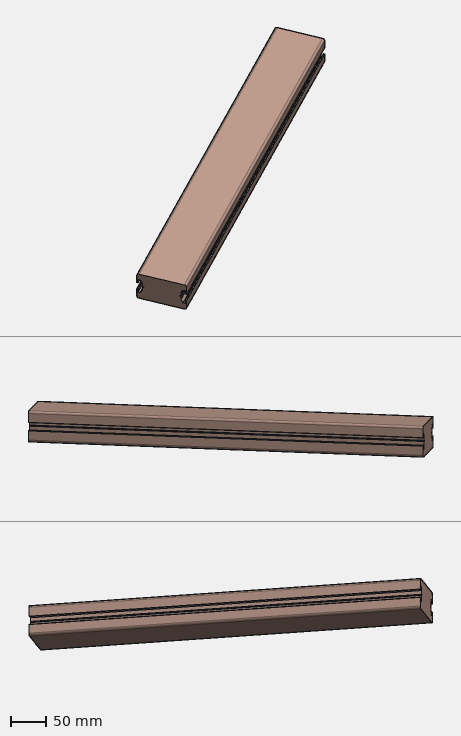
import cadquery as cq

width = 75.0
length = 570.0
height = 45.0
corner_radius = 3.5

opening_width = 12.0
opening_half = opening_width / 2
lip_thickness = 2.0
cavity_half = 11.5
cavity_straight_depth = 5.0
floor_half = 6.0
floor_depth = 8.5
groove_width = 1.5
groove_half = groove_width / 2
groove_depth = 10.0


def make_bar():
    """Solid bar centred on the origin with rounded long edges."""
    return cq.Workplane("XY").box(width, length, height).edges("|Y").fillet(corner_radius)


def make_slot():
    """Full-length cutter for the slot in the -X side, with a V-groove in its floor."""
    upper_half = [
        (0, opening_half),
        (lip_thickness, opening_half),
        (lip_thickness, cavity_half),
        (cavity_straight_depth, cavity_half),
        (floor_depth, floor_half),
        (floor_depth, groove_half),
    ]
    lower_half = [(depth, -z) for depth, z in reversed(upper_half)]
    outline = upper_half + [(groove_depth, 0)] + lower_half
    return (
        cq.Workplane("XZ", origin=(-width / 2, 0, 0))
        .polyline(outline)
        .close()
        .extrude(length / 2, both=True)
    )


left_slot = make_slot()
right_slot = left_slot.mirror("YZ")
result = make_bar().cut(left_slot).cut(right_slot)